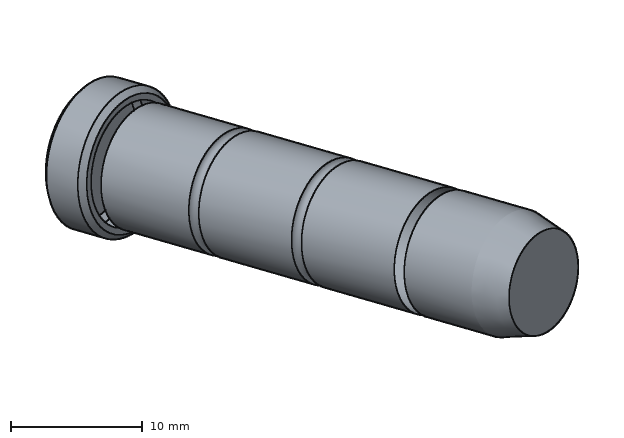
import cadquery as cq
import math

length = 44.0
head_diameter = 12.0
head_thickness = 4.0
head_chamfer = 0.5
shank_diameter = 10.0

taper_length = 3.0
taper_angle = 15.0

groove_radius = 0.5
undercut_center = head_thickness + groove_radius
groove_pitch = 10.0
first_groove_center = 14.0
groove_count = 3

shank_radius = shank_diameter / 2


def groove(center):
    """Ring of round section that cuts a half-round groove around the shank."""
    ring = cq.Workplane("XY").center(center, shank_radius).circle(groove_radius)
    return ring.revolve(360, (0, -shank_radius, 0), (1, -shank_radius, 0))


taper_drop = taper_length * math.tan(math.radians(taper_angle))
tip_start = length - taper_length
shank_profile = [
    (0, 0),
    (0, shank_radius),
    (tip_start, shank_radius),
    (length, shank_radius - taper_drop),
    (length, 0),
]
shank = cq.Workplane("XY").polyline(shank_profile).close().revolve(360, (0, 0, 0), (1, 0, 0))

groove_centers = [undercut_center]
groove_centers += [first_groove_center + i * groove_pitch for i in range(groove_count)]
for center in groove_centers:
    shank = shank.cut(groove(center))

head = cq.Workplane("YZ").circle(head_diameter / 2).extrude(head_thickness)
head = head.edges("%CIRCLE").chamfer(head_chamfer)

result = shank.union(head)